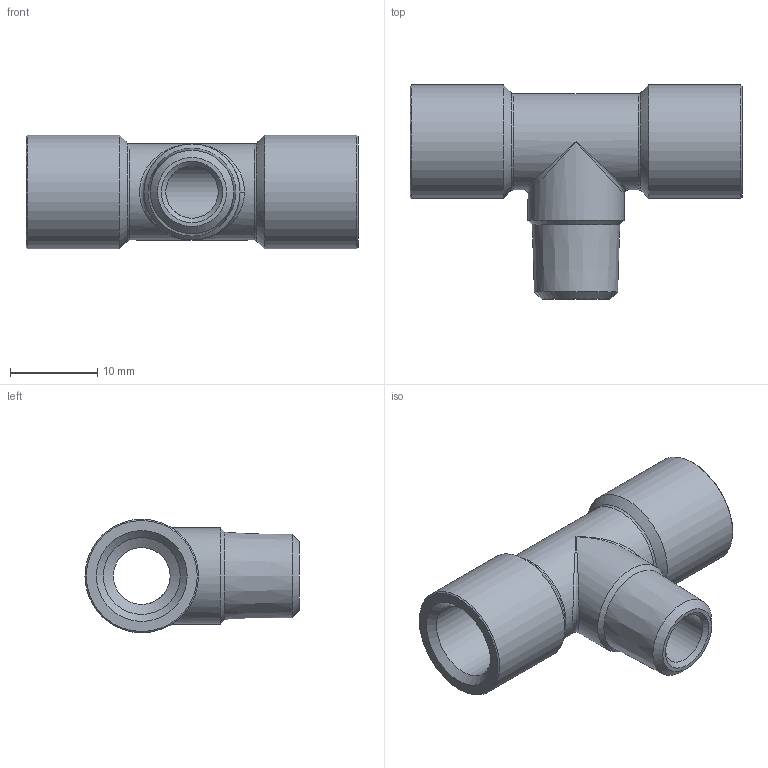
import cadquery as cq
import math

run_length = 38.0
socket_radius = 6.5
socket_end_chamfer = 0.15
body_radius = 5.5
shoulder_root_x = 7.3
shoulder_fillet = 0.4

run_bore_radius = 3.25
socket_bore_radius = 4.4
socket_bore_depth = 9.0
socket_mouth_radius = 5.2
socket_mouth_depth = 0.8
drill_point_angle = 118.0

branch_reach = 18.0
branch_radius = body_radius
branch_shoulder_y = 9.0
taper_start_y = 9.5
taper_gauge_radius = 4.864
taper_gauge_y = 14.0
taper_radius_per_length = 1 / 32
tip_radius = 3.95
tip_chamfer_length = 0.8
saddle_fillet = 0.5

branch_bore_radius = 3.0
branch_mouth_radius = 3.5
branch_mouth_depth = 0.5

half_length = run_length / 2


def taper_radius(y):
    """Radius of the tapered pipe end at distance y from the run axis."""
    return taper_gauge_radius + (taper_gauge_y - y) * taper_radius_per_length


def turn_about_x(points):
    """Revolve an (x, radius) outline about the X axis."""
    return cq.Workplane("XY").polyline(points).close().revolve(360, (0, 0, 0), (1, 0, 0))


def turn_about_y(points):
    """Revolve a (radius, y) outline about the Y axis."""
    return cq.Workplane("XY").polyline(points).close().revolve(360, (0, 0, 0), (0, 1, 0))


def add_both_ends(shape, end):
    """Join the +X end shape and its mirror image on the -X side to a shape."""
    return shape.union(end).union(end.mirror("YZ"))


def make_branch():
    chamfer_start_y = branch_reach - tip_chamfer_length
    return turn_about_y([
        (0, 0),
        (branch_radius, 0),
        (branch_radius, -branch_shoulder_y),
        (taper_radius(taper_start_y), -taper_start_y),
        (taper_radius(chamfer_start_y), -chamfer_start_y),
        (tip_radius, -branch_reach),
        (0, -branch_reach),
    ])


def make_core():
    """Body between the sockets and the branch, blended along their mitred seam."""
    core = cq.Workplane("YZ").circle(body_radius).extrude(shoulder_root_x, both=True)
    core = core.union(make_branch())
    seam = [edge for edge in core.edges().vals() if edge.geomType() == "ELLIPSE"]
    return core.newObject(seam).fillet(saddle_fillet)


def make_socket():
    """Outer shape of the +X socket, with its 45 degree shoulder."""
    shoulder_rise = socket_radius - body_radius
    return turn_about_x([
        (shoulder_root_x, 0),
        (shoulder_root_x, body_radius),
        (shoulder_root_x + shoulder_rise, socket_radius),
        (half_length - socket_end_chamfer, socket_radius),
        (half_length, socket_radius - socket_end_chamfer),
        (half_length, 0),
    ])


def blend_shoulders(shape):
    """Fillet the circle where each socket shoulder meets the body."""
    for root_x in (-shoulder_root_x, shoulder_root_x):
        root = cq.selectors.NearestToPointSelector((root_x, 0, 0))
        shape = shape.edges("%CIRCLE").edges(root).fillet(shoulder_fillet)
    return shape


def make_socket_bore():
    """Bore of the +X socket: flared mouth, straight bore and drill point."""
    bore_end_x = half_length - socket_bore_depth
    point_length = socket_bore_radius / math.tan(math.radians(drill_point_angle / 2))
    return turn_about_x([
        (half_length, 0),
        (half_length, socket_mouth_radius),
        (half_length - socket_mouth_depth, socket_bore_radius),
        (bore_end_x, socket_bore_radius),
        (bore_end_x - point_length, 0),
    ])


def make_run_bore():
    through_bore = cq.Workplane("YZ").circle(run_bore_radius).extrude(half_length, both=True)
    return add_both_ends(through_bore, make_socket_bore())


def make_branch_bore():
    """Bore of the branch, flared at the tip and opening into the run bore."""
    return turn_about_y([
        (0, 0),
        (branch_bore_radius, 0),
        (branch_bore_radius, -(branch_reach - branch_mouth_depth)),
        (branch_mouth_radius, -branch_reach),
        (0, -branch_reach),
    ])


outer_shape = blend_shoulders(add_both_ends(make_core(), make_socket()))
result = outer_shape.cut(make_run_bore()).cut(make_branch_bore())